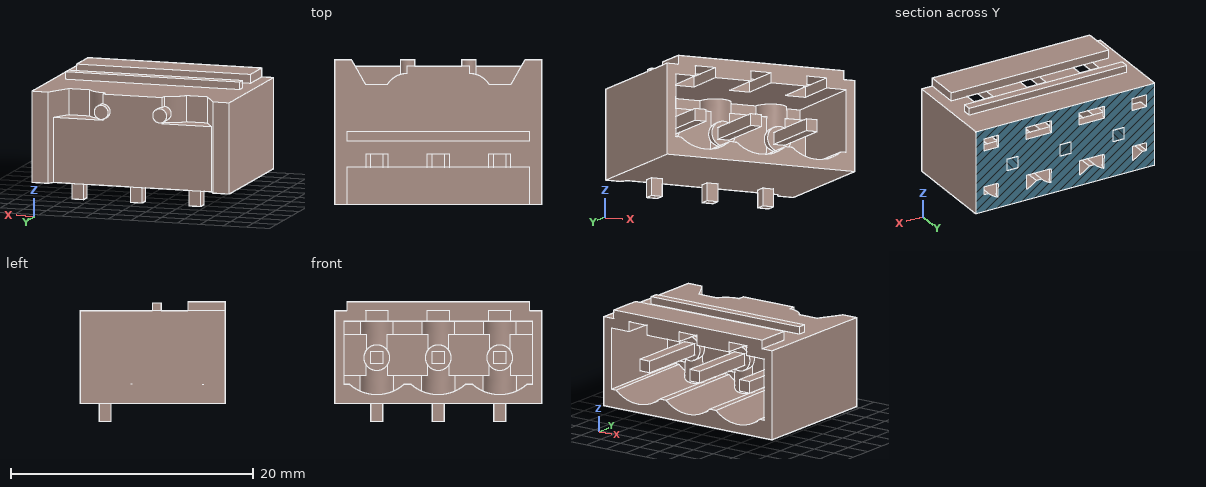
import cadquery as cq
import math

pin_count = 3
pitch = 5.08
housing_width = 17.14
housing_depth = 12.0
housing_height = 7.68
pin_positions = [(i - (pin_count - 1) / 2) * pitch for i in range(pin_count)]

raised_width = 15.1
ledge_depth = 3.1
ledge_height = 0.75
rib_front = 5.28
rib_depth = 0.75
rib_height = 0.63

side_wall = 0.8
cavity_width = housing_width - 2 * side_wall
cavity_depth = 9.0
cavity_floor = 1.56
cavity_ceiling = 6.83
cavity_draft = 0.4
draft_rise = cavity_depth * math.tan(math.radians(cavity_draft))
groove_radius = 3.4
groove_bottom = 0.735

notch_width = 1.82
notch_depth = 4.17

crossbar_bottom = 2.3
crossbar_top = 5.71
crossbar_thickness = 1.06
column_bottom_radius = 1.4
column_top_radius = 1.34
boss_radius = 1.06
boss_length = 1.7

corner_post_width = 1.4
pocket_front = 9.94
pocket_front_width = 1.86
rear_face = 11.45
pocket_height = 2.2
bridge_half_width = 2.58
bridge_shoulder = 10.85
bridge_arc_radius = 1.9
peg_radius = 0.6
peg_height = 6.24
peg_start = 10.0

pin_size = 1.0
pin_height = 3.79
pin_tip = 0.97
leg_center = 9.94
leg_length = 1.5


def block(x_limits, y_limits, z_limits):
    """Box given by its lower and upper limits along each axis."""
    sizes = [high - low for low, high in (x_limits, y_limits, z_limits)]
    corner = (x_limits[0], y_limits[0], z_limits[0])
    return cq.Workplane("XY").box(*sizes, centered=False).translate(corner)


def centered_span(width, center=0.0):
    return (center - width / 2, center + width / 2)


def rod_along_y(radius, x, z, y_start, y_end):
    rod = cq.Solid.makeCylinder(radius, y_end - y_start, cq.Vector(x, y_start, z), cq.Vector(0, 1, 0))
    return cq.Workplane(obj=rod)


def make_pin(x):
    """Contact bar along Y with a leg bent down at its rear end."""
    leg_back = leg_center + pin_size / 2
    x_limits = centered_span(pin_size, x)
    pin_top = pin_height + pin_size / 2
    contact = block(x_limits, (pin_tip, leg_back), centered_span(pin_size, pin_height))
    leg = block(x_limits, centered_span(pin_size, leg_center), (-leg_length, pin_top))
    return contact.union(leg)


def make_cavity():
    """Drafted plug cavity with a round groove in the floor below each pin."""
    cavity = (
        cq.Workplane("YZ", origin=(-cavity_width / 2, 0, 0))
        .polyline([
            (0, cavity_floor),
            (0, cavity_ceiling),
            (cavity_depth, cavity_ceiling - draft_rise),
            (cavity_depth, cavity_floor + draft_rise),
        ])
        .close()
        .extrude(cavity_width)
    )
    chord_height = cavity_floor + draft_rise
    axis_height = groove_bottom + groove_radius
    half_chord = math.sqrt(groove_radius**2 - (axis_height - chord_height) ** 2)
    for x in pin_positions:
        groove = (
            cq.Workplane("XZ")
            .moveTo(x - half_chord, chord_height)
            .threePointArc((x, groove_bottom), (x + half_chord, chord_height))
            .close()
            .extrude(-cavity_depth)
        )
        cavity = cavity.union(groove)
    return cavity


def make_column(x):
    """Tapered upright column, centered on the cavity's rear wall."""
    height = cavity_ceiling - groove_bottom
    base = cq.Vector(x, cavity_depth, groove_bottom)
    return cq.Workplane(obj=cq.Solid.makeCone(column_bottom_radius, column_top_radius, height, base))


def make_boss(x):
    """Round boss around the pin where it leaves the rear wall."""
    return rod_along_y(boss_radius, x, pin_height, cavity_depth - boss_length, cavity_depth)


def make_rear_relief():
    """Full-height relief between the corner posts, with slanted post sides."""
    half_opening = housing_width / 2 - corner_post_width
    half_front = pitch + pocket_front_width / 2
    post_slope = (half_opening - half_front) / (housing_depth - pocket_front)
    half_inner = half_opening - post_slope * (housing_depth - rear_face)
    return (
        cq.Workplane("XY")
        .polyline([
            (-half_opening, housing_depth),
            (-half_inner, rear_face),
            (half_inner, rear_face),
            (half_opening, housing_depth),
        ])
        .close()
        .extrude(housing_height)
    )


def make_left_pocket():
    """Pocket in the rear top edge, from the corner post to the central bridge."""
    bridge_side = -bridge_half_width
    arc_center_y = bridge_shoulder - bridge_arc_radius
    arc_rise = pocket_front - arc_center_y
    arc_end = bridge_side - math.sqrt(bridge_arc_radius**2 - arc_rise**2)
    middle_angle = (math.asin(arc_rise / bridge_arc_radius) + math.pi / 2) / 2
    arc_middle = (
        bridge_side - bridge_arc_radius * math.cos(middle_angle),
        arc_center_y + bridge_arc_radius * math.sin(middle_angle),
    )
    return (
        cq.Workplane("XY", origin=(0, 0, housing_height - pocket_height))
        .moveTo(-housing_width / 2 + corner_post_width, housing_depth)
        .lineTo(-pitch - pocket_front_width / 2, pocket_front)
        .lineTo(arc_end, pocket_front)
        .threePointArc(arc_middle, (bridge_side, bridge_shoulder))
        .lineTo(bridge_side, housing_depth)
        .close()
        .extrude(pocket_height)
    )


def make_housing():
    raised_span = centered_span(raised_width)
    ledge_top = housing_height + ledge_height
    rib_top = housing_height + rib_height
    body = block(centered_span(housing_width), (0, housing_depth), (0, housing_height))
    body = body.union(block(raised_span, (0, ledge_depth), (housing_height, ledge_top)))
    body = body.union(block(raised_span, (rib_front, rib_front + rib_depth), (housing_height, rib_top)))

    body = body.cut(make_cavity())
    crossbar_front = cavity_depth - crossbar_thickness
    crossbar_heights = (crossbar_bottom, crossbar_top)
    body = body.union(block(centered_span(cavity_width), (crossbar_front, cavity_depth), crossbar_heights))
    for x in pin_positions:
        body = body.union(make_column(x)).union(make_boss(x))
        notch_heights = (pin_height + boss_radius, housing_height)
        body = body.cut(block(centered_span(notch_width, x), (0, notch_depth), notch_heights))

    left_pocket = make_left_pocket()
    body = body.cut(make_rear_relief())
    body = body.cut(left_pocket).cut(left_pocket.mirror("YZ"))
    for peg_x in (-pitch / 2, pitch / 2):
        body = body.union(rod_along_y(peg_radius, peg_x, peg_height, peg_start, housing_depth))
    return body


pins = [make_pin(x) for x in pin_positions]
housing = make_housing()
for pin in pins:
    housing = housing.cut(pin)

result = cq.Compound.makeCompound([housing.val(), *[pin.val() for pin in pins]])